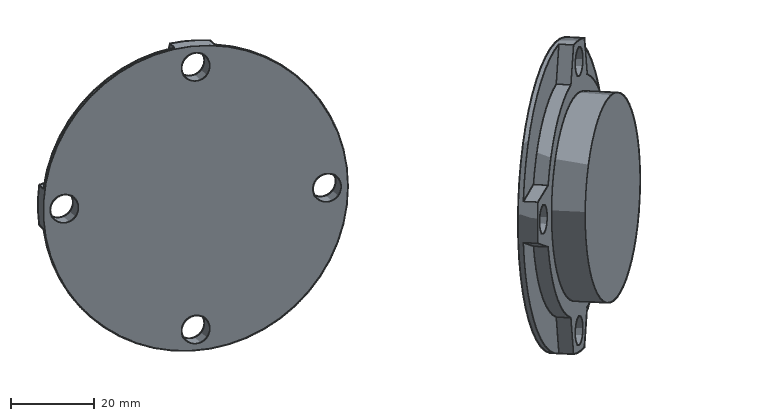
import cadquery as cq
import math

outer_diameter = 76.0
total_length = 13.3
hub_diameter = 50.55
hub_length = 8.35
rim_thickness = 1.3

ring_diameter = 58.7
lug_count = 4
lug_tip_width = 10.0
lug_overrun = 1.5
lug_side_angle = 15.0
hole_diameter = 7.0
hole_circle_diameter = 65.5

outer_radius = outer_diameter / 2
flange_thickness = total_length - hub_length
raised_height = flange_thickness - rim_thickness


def disc(diameter, start, length):
    """Solid disc on the X axis, running from start towards +X."""
    return cq.Workplane("YZ", origin=(start, 0, 0)).circle(diameter / 2).extrude(length)


def lug():
    """Tapered lug along +Z, from inside the ring to beyond the edge of the cover."""
    tip_half_width = lug_tip_width / 2
    tip_height = math.sqrt(outer_radius**2 - tip_half_width**2)
    root_height = ring_diameter / 4
    end_height = outer_radius + lug_overrun
    taper = math.tan(math.radians(lug_side_angle))
    root_half_width = tip_half_width + (tip_height - root_height) * taper
    end_half_width = tip_half_width - (end_height - tip_height) * taper
    return (
        cq.Workplane("YZ", origin=(hub_length, 0, 0))
        .moveTo(-root_half_width, root_height)
        .lineTo(-end_half_width, end_height)
        .lineTo(end_half_width, end_height)
        .lineTo(root_half_width, root_height)
        .close()
        .extrude(raised_height)
    )


def recesses():
    """Material removed around the ring, leaving the lugs and the thin rim."""
    removed = disc(outer_diameter + 2 * lug_overrun, hub_length, raised_height)
    removed = removed.cut(disc(ring_diameter, hub_length, raised_height))
    for index in range(lug_count):
        lug_angle = index * 360 / lug_count
        removed = removed.cut(lug().rotate((0, 0, 0), (1, 0, 0), lug_angle))
    return removed


hub = disc(hub_diameter, 0, hub_length)
flange = disc(outer_diameter, hub_length, flange_thickness)
body = hub.union(flange.cut(recesses()))

holes = (
    cq.Workplane("YZ")
    .polarArray(hole_circle_diameter / 2, 0, 360, lug_count)
    .circle(hole_diameter / 2)
    .extrude(total_length)
)

result = body.cut(holes)